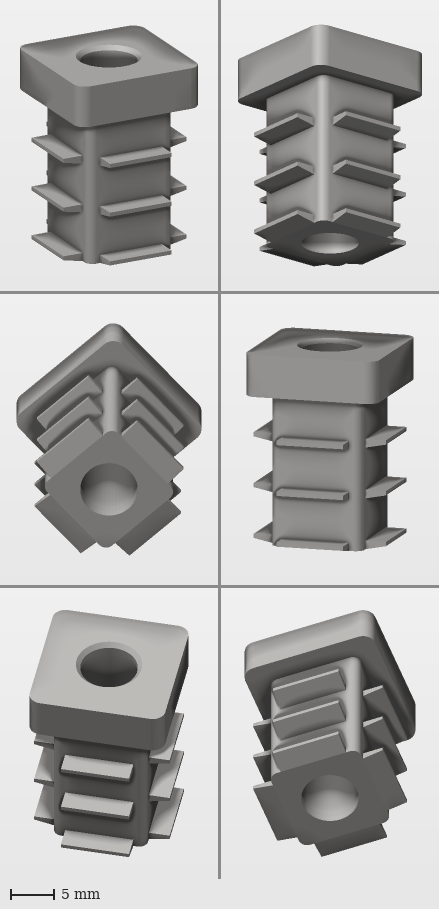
import cadquery as cq

total_height = 23.0
head_width = 16.0

head_height = 5.0
head_corner_radius = 1.5

stem_width = 11.09
stem_corner_radius = 1.04
stem_height = total_height - head_height

hole_diameter = 6.65
hole_chamfer = 0.5

fin_length = 8.05
fin_root_thickness = 1.0
fin_tip_thickness = fin_root_thickness / 2
fin_pitch = 6.0
fin_rows = 3
fin_overlap = 0.23


def rounded_block(width, height, corner_radius):
    """Square block standing on Z = 0 with rounded vertical edges."""
    block = cq.Workplane("XY").rect(width, width).extrude(height)
    return block.edges("|Z").fillet(corner_radius)


def make_fin(bottom):
    """Fin on the +X face of the stem, with its root starting at height bottom."""
    root_x = stem_width / 2
    buried_x = root_x - fin_overlap
    tip_x = head_width / 2
    top = bottom + fin_root_thickness
    profile = [
        (buried_x, bottom),
        (root_x, bottom),
        (tip_x, top - fin_tip_thickness),
        (tip_x, top),
        (buried_x, top),
    ]
    return cq.Workplane("XZ").polyline(profile).close().extrude(fin_length / 2, both=True)


stem = rounded_block(stem_width, stem_height, stem_corner_radius)
head = rounded_block(head_width, head_height, head_corner_radius)
body = stem.union(head.translate((0, 0, stem_height)))

for row in range(fin_rows):
    fin = make_fin(row * fin_pitch)
    for angle in (0, 90, 180, 270):
        body = body.union(fin.rotate((0, 0, 0), (0, 0, 1), angle))

bored = body.faces(">Z").workplane().hole(hole_diameter)
largest_radius = cq.selectors.RadiusNthSelector(-1)
result = bored.faces(">Z").edges("%CIRCLE").edges(largest_radius).chamfer(hole_chamfer)